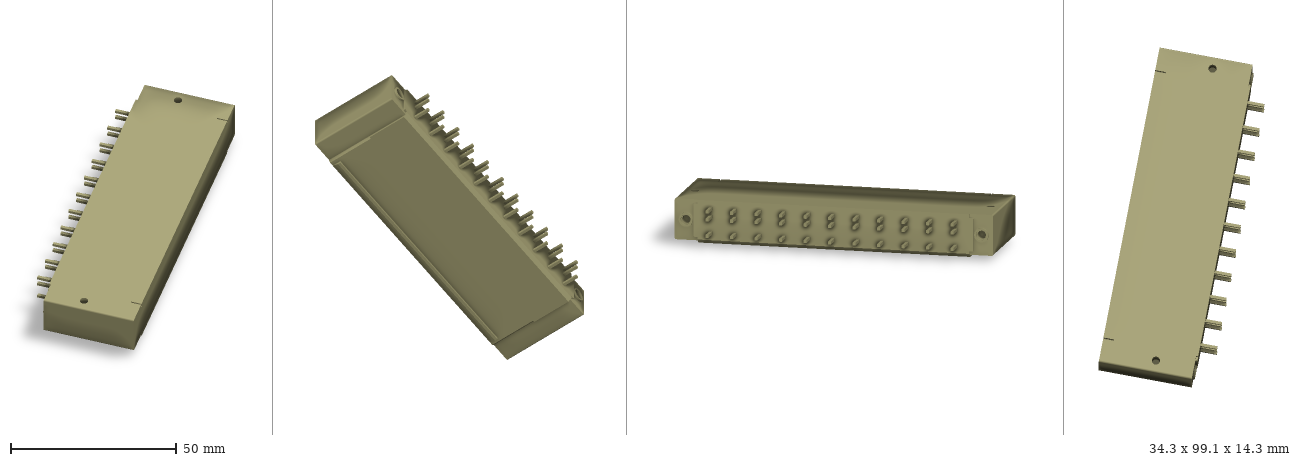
import cadquery as cq

total_length = 99.1
body_depth = 29.2
body_length = 84.6
top_z = 6.3
body_bottom_z = -7.1
front_chamfer = 1.2
side_chamfer = 0.6
side_chamfer_start = 14.0

block_length = (total_length - body_length) / 2
block_step = 0.6
block_fillet = 0.5

ear_reach = 1.2
ear_height = 10.3
ear_chamfer = 0.2

fixing_inset = 3.6
fixing_y = total_length / 2 - fixing_inset
bush_diameter = 4.4
bush_bore = 3.2
bush_bore_depth = 0.8
bush_pilot = 2.6
bush_pilot_depth = 3.0
screw_hole_x = 12.3
screw_hole_diameter = 2.5
screw_hole_depth = 4.0

pin_columns = 11
pin_pitch = 7.6
pin_size = 0.9
pin_length = 5.1
pin_rows_z = (3.9, 1.4, -3.7)

lip_length = 80.8
lip_start_x = 26.35
lip_height = 0.9
lip_flat = 0.9

slit_length = 3.3
slit_width = 0.4
slit_depth = 1.0

ends = (-1, 1)


def box(x_range, y_range, z_range):
    """Box between the given limits along each axis."""
    size = [high - low for low, high in (x_range, y_range, z_range)]
    corner = (x_range[0], y_range[0], z_range[0])
    return cq.Workplane("XY").box(*size, centered=False).translate(corner)


def make_body():
    """Main block with a chamfer along its lower pin-side edge."""
    half = body_length / 2
    body = box((0, body_depth), (-half, half), (body_bottom_z, top_z))
    return body.edges("<X and <Z").chamfer(front_chamfer)


def make_side_chamfer(end):
    """Triangular prism removed from a lower long side edge of the body."""
    edge_y = end * body_length / 2
    return (
        cq.Workplane("YZ", origin=(side_chamfer_start, edge_y, body_bottom_z))
        .polyline([(0, 0), (0, side_chamfer), (-end * side_chamfer, 0)])
        .close()
        .extrude(body_depth - side_chamfer_start)
    )


def make_end_block(end):
    """End block with rounded outer edges along X."""
    near = body_length / 2
    block = box((block_step, body_depth), (near, near + block_length), (-top_z, top_z))
    block = block.faces(">Y").edges("|X").fillet(block_fillet)
    return block if end > 0 else block.mirror("XZ")


def make_ear(end):
    """Thin tab of the body that overlaps the pin-side face of an end block."""
    near = body_length / 2
    ear = box((0, block_step), (near, near + ear_reach), (-ear_height / 2, ear_height / 2))
    ear = ear.faces(">Y").edges("|X").chamfer(ear_chamfer)
    return ear if end > 0 else ear.mirror("XZ")


def x_cylinder(diameter, length, y):
    """Cylinder along +X starting at the body face."""
    return cq.Workplane("YZ", origin=(0, y, 0)).circle(diameter / 2).extrude(length)


def make_screw_hole(y):
    """Blind hole going down from the top of an end block."""
    hole = cq.Workplane("XY", origin=(screw_hole_x, y, top_z)).circle(screw_hole_diameter / 2)
    return hole.extrude(-screw_hole_depth)


def make_pins():
    """Rows of square contact pins."""
    first_y = -pin_pitch * (pin_columns - 1) / 2
    places = [(first_y + i * pin_pitch, z) for i in range(pin_columns) for z in pin_rows_z]
    return cq.Workplane("YZ").pushPoints(places).rect(pin_size, pin_size).extrude(-pin_length)


def make_lip():
    """Wedge-shaped latching lip under the body."""
    lip_bottom_z = body_bottom_z - lip_height
    return (
        cq.Workplane("XZ", origin=(0, lip_length / 2, 0))
        .moveTo(lip_start_x, body_bottom_z)
        .lineTo(lip_start_x, lip_bottom_z)
        .lineTo(lip_start_x + lip_flat, lip_bottom_z)
        .lineTo(body_depth, body_bottom_z)
        .close()
        .extrude(lip_length)
    )


def make_slit(end):
    """Short slit in the top of the body, beside an end block."""
    edge = end * body_length / 2
    y_range = sorted((edge, edge - end * slit_width))
    return box((body_depth - slit_length, body_depth), y_range, (top_z - slit_depth, top_z))


result = make_body()
for end in ends:
    result = result.cut(make_side_chamfer(end))
    result = result.cut(make_slit(end))
    result = result.union(make_end_block(end))
    result = result.union(make_ear(end))

for end in ends:
    hole_y = end * fixing_y
    result = result.union(x_cylinder(bush_diameter, block_step, hole_y))
    result = result.cut(x_cylinder(bush_bore, bush_bore_depth, hole_y))
    result = result.cut(x_cylinder(bush_pilot, bush_pilot_depth, hole_y))
    result = result.cut(make_screw_hole(hole_y))

result = result.union(make_lip()).union(make_pins())